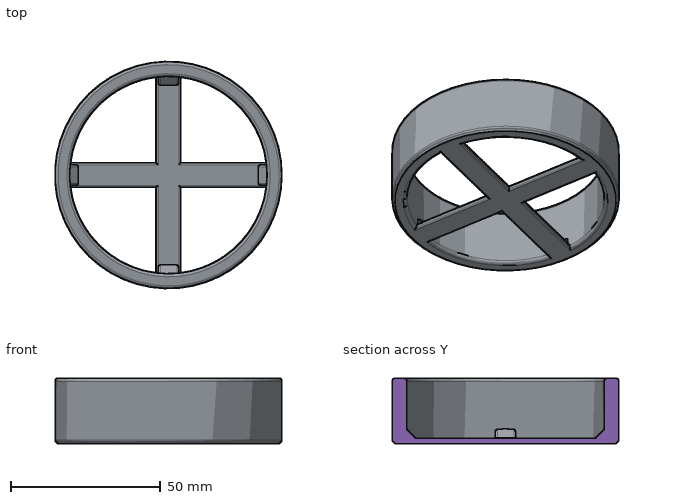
import cadquery as cq
import math

outer_radius = 38.0
bore_radius = 33.0
ring_height = 22.0
top_round = 1.0
bottom_chamfer = 1.0
chamfer_blend = 1.0
bore_bottom_round = 1.2

arm_width = 8.35
arm_thickness = 2.0
arm_round = 0.7
arm_bottom_round = 0.5

tab_width = arm_width - 2 * arm_round
tab_length = 2.9
tab_height = 3.0
tab_round = 0.75
tab_count = 4

wall_overlap = 1.5


def make_ring():
    """Revolved ring with rounded top edges and a softened chamfer below."""
    shoulder = chamfer_blend * math.tan(math.radians(22.5))
    slant = shoulder * math.cos(math.radians(45))
    blend_center = outer_radius - chamfer_blend
    blend_center_z = bottom_chamfer + shoulder
    blend_mid = (
        blend_center + chamfer_blend * math.cos(math.radians(22.5)),
        blend_center_z - chamfer_blend * math.sin(math.radians(22.5)),
    )
    blend_end = (outer_radius, blend_center_z)
    profile = (
        cq.Workplane("XZ")
        .moveTo(bore_radius, 0)
        .lineTo(outer_radius - bottom_chamfer, 0)
        .lineTo(outer_radius - slant, bottom_chamfer - slant)
        .threePointArc(blend_mid, blend_end)
        .lineTo(outer_radius, ring_height)
        .lineTo(bore_radius, ring_height)
        .close()
    )
    ring = profile.revolve(360, (0, 0, 0), (0, 1, 0))
    ring = ring.faces(">Z").edges().fillet(top_round)
    return ring.faces("<Z").edges(cq.selectors.RadiusNthSelector(0)).fillet(bore_bottom_round)


def make_cross():
    """Two crossing spokes with rounded long edges, running into the ring wall."""
    span = 2 * (bore_radius + wall_overlap)
    arm_x = cq.Workplane("XY").box(span, arm_width, arm_thickness, centered=(True, True, False))
    arm_y = arm_x.rotate((0, 0, 0), (0, 0, 1), 90)
    arm_x = arm_x.edges("|X and >Z").fillet(arm_round).edges("|X and <Z").fillet(arm_bottom_round)
    arm_y = arm_y.edges("|Y and >Z").fillet(arm_round).edges("|Y and <Z").fillet(arm_bottom_round)
    return arm_x.union(arm_y)


def make_tab():
    """Wedge on the +X spoke, rising toward the bore wall, with rounded sloping edges."""
    foot = bore_radius - tab_length
    back = bore_radius + wall_overlap
    back_height = tab_height * (tab_length + wall_overlap) / tab_length
    wedge = (
        cq.Workplane("XZ")
        .moveTo(foot, arm_thickness)
        .lineTo(back, arm_thickness + back_height)
        .lineTo(back, 0)
        .lineTo(foot, 0)
        .close()
        .extrude(tab_width / 2, both=True)
    )
    sloping_edges = cq.selectors.ParallelDirSelector(
        cq.Vector(tab_length, 0, tab_height)
    )
    return wedge.edges(sloping_edges).fillet(tab_round)


result = make_ring().union(make_cross())
for index in range(tab_count):
    angle = index * 360 / tab_count
    result = result.union(make_tab().rotate((0, 0, 0), (0, 0, 1), angle))